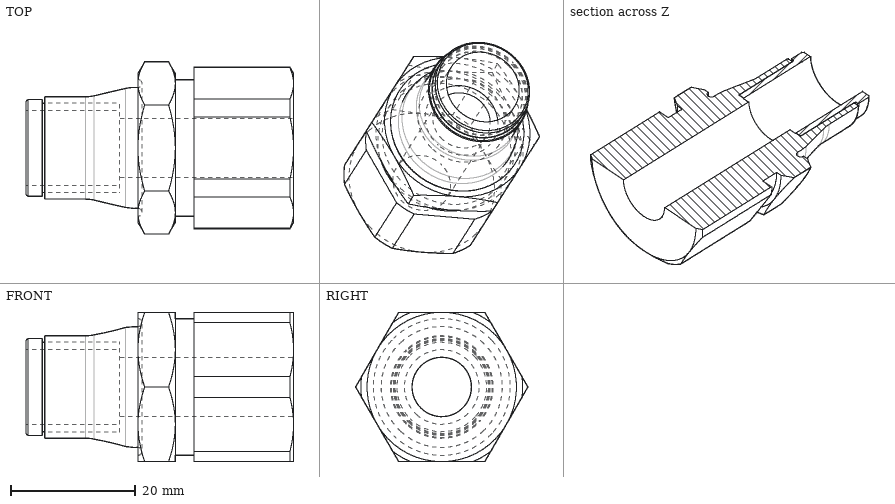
import cadquery as cq
import math


bore_radius = 4.75
across_flats = 24.0
flat_radius = across_flats / 2
corner_radius = flat_radius / math.cos(math.radians(30))
chamfer_slope = math.tan(math.radians(30))

tube_radius = 6.0
sleeve_radius = 7.2
sleeve_end = 15.0
flange_radius = 7.8
flange_length = 2.7
flange_front_chamfer = 0.3
flange_back_chamfer = 0.15

mouth_x = 2.95
nut_start = 18.0
nut_end = 24.0
wrench_start = 27.0
body_end = 43.0

mouth_chamfer = 0.15
barrel_radius = 8.25
shoulder_radius = 9.75
cone_start = 10.3
cone_end = 16.7
cone_blend_radius = 6.0
neck_radius = 11.0
groove_outer_radius = neck_radius
wrench_corner_radius = 13.0


def hex_prism(start, end):
    """Hexagonal bar along X with flats at +Z and -Z."""
    return (
        cq.Workplane("YZ", origin=(start, 0, 0))
        .polygon(6, 2 * corner_radius)
        .extrude(end - start)
    )


def cylinder(start, end, radius):
    """Round bar along X."""
    return cq.Workplane("YZ", origin=(start, 0, 0)).circle(radius).extrude(end - start)


def turned(profile):
    """Revolve a closed profile of (x, radius) about the X axis."""
    return profile.close().revolve(360, (0, 0, 0), (1, 0, 0))


def chamfered_envelope(start, end, radius, chamfer_start, chamfer_end):
    """Round bar whose chosen ends taper at 30 degrees down to the flats."""
    setback = (radius - flat_radius) * chamfer_slope
    profile = cq.Workplane("XY").moveTo(start, 0)
    if chamfer_start:
        profile = profile.lineTo(start, flat_radius).lineTo(start + setback, radius)
    else:
        profile = profile.lineTo(start, radius)
    if chamfer_end:
        profile = profile.lineTo(end - setback, radius).lineTo(end, flat_radius)
    else:
        profile = profile.lineTo(end, radius)
    return turned(profile.lineTo(end, 0))


def make_collet():
    """Sleeve with a chamfered release flange at its outer end."""
    profile = (
        cq.Workplane("XY")
        .moveTo(0, tube_radius)
        .lineTo(0, flange_radius - flange_front_chamfer)
        .lineTo(flange_front_chamfer, flange_radius)
        .lineTo(flange_length - flange_back_chamfer, flange_radius)
        .lineTo(flange_length, flange_radius - flange_back_chamfer)
        .lineTo(flange_length, sleeve_radius)
        .lineTo(sleeve_end, sleeve_radius)
        .lineTo(sleeve_end, tube_radius)
    )
    return turned(profile)


def make_barrel():
    """Round front of the body: barrel, cone, shoulder and groove, with the core of the nut."""
    cone_angle = math.atan2(shoulder_radius - barrel_radius, cone_end - cone_start)
    tangent_length = cone_blend_radius * math.tan(cone_angle / 2)
    along = tangent_length * math.cos(cone_angle)
    rise = tangent_length * math.sin(cone_angle)

    past_crest = nut_start - (cone_end + tangent_length)
    shoulder_drop = cone_blend_radius - math.sqrt(cone_blend_radius**2 - past_crest**2)
    shoulder_end_radius = shoulder_radius - shoulder_drop
    groove_depth = (groove_outer_radius - shoulder_end_radius) / 2
    groove_middle_radius = (groove_outer_radius + shoulder_end_radius) / 2

    profile = (
        cq.Workplane("XY")
        .moveTo(mouth_x, 0)
        .lineTo(mouth_x, barrel_radius - mouth_chamfer)
        .lineTo(mouth_x + mouth_chamfer, barrel_radius)
        .lineTo(cone_start - tangent_length, barrel_radius)
        .tangentArcPoint((cone_start + along, barrel_radius + rise), relative=False)
        .lineTo(cone_end - along, shoulder_radius - rise)
        .tangentArcPoint((nut_start, shoulder_end_radius), relative=False)
        .threePointArc((nut_start + groove_depth, groove_middle_radius), (nut_start, groove_outer_radius))
        .lineTo(nut_end, groove_outer_radius)
        .lineTo(nut_end, 0)
    )
    return turned(profile)


def make_body():
    """Body with its nut, neck and wrench hexagon, bored for the collet and the flow."""
    nut = hex_prism(nut_start, nut_end).intersect(
        chamfered_envelope(nut_start, nut_end, corner_radius, True, True)
    )
    nut = nut.cut(cylinder(nut_start, nut_end, groove_outer_radius))
    neck = cylinder(nut_end, wrench_start, neck_radius)
    wrench_hex = hex_prism(wrench_start, body_end).intersect(
        chamfered_envelope(wrench_start, body_end, wrench_corner_radius, False, True)
    )
    body = make_barrel().union(nut).union(neck).union(wrench_hex)
    collet_seat = cylinder(mouth_x, sleeve_end, sleeve_radius)
    flow_bore = cylinder(mouth_x, body_end, bore_radius)
    return body.cut(collet_seat).cut(flow_bore)


collet = make_collet()
body = make_body()
result = cq.Compound.makeCompound([collet.val(), *body.solids().vals()])